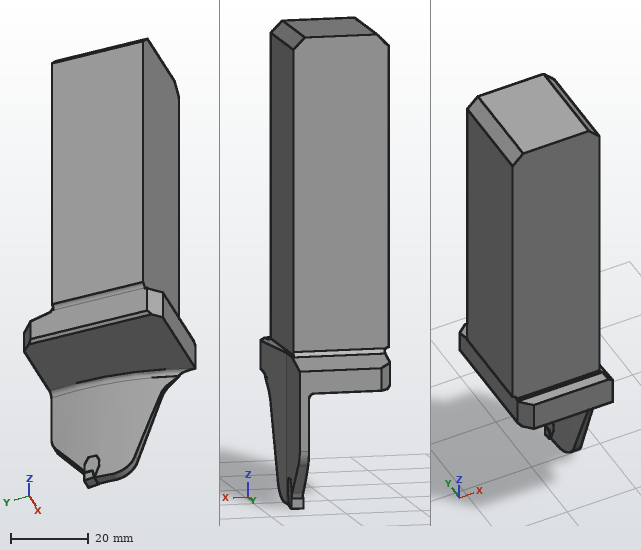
import cadquery as cq
import math

top_z = 124.1
shank_width = 25.4
shank_front_y = 3.8
shank_rear_y = shank_front_y + shank_width
shank_top_chamfer = 3.1

flange_left_x = 1.1
flange_right_x = 27.3
flange_rear_y = 38.7
flange_bottom_z = 31.9
flange_top_z = 40.5
flange_rear_top_z = 37.8
flange_corner_chamfer = 3.1
flange_bottom_chamfer = 0.9
front_ledge_depth = 3.2
front_ledge_drop = 0.4
shoulder_drop = 1.1
rear_relief = 0.9

taper_end_y = 32.0
taper_end_x = 25.4
side_rear_x = 25.9

blade_inner_x = 23.0
blade_inner_radius = 80.7
blade_axis_y = 29.8
blade_bottom_z = 0.5
blade_root_fillet = 1.4

rear_corner = [(flange_rear_y, 16.8), (38.2, 14.5), (37.0, 12.7)]
rear_slope_end = (30.0, 4.2)
front_tip_corner = [(21.7, blade_bottom_z), (18.0, 1.9), (15.6, 5.5)]
front_root_corner = [(9.2, 24.6), (8.3, 26.4), (7.0, 28.0)]
front_root = (3.0, flange_bottom_z)

insert_edge_y = 29.3
insert_rear_z = 5.3
insert_top_z = 7.6
insert_top_rear_y = 28.2
insert_top_front_y = 25.9
insert_front_y = 25.2
insert_front_top_z = 6.0
insert_front_bottom_z = 4.2
insert_heel_y = 26.5
insert_heel_z = 0.4
head_top_z = 2.7
head_root_y = 26.9
head_left_x = 22.7
head_right_x = 25.9


def extrude_along_x(outline):
    """Extrude a closed YZ outline across the full width of the tool."""
    return outline.close().extrude(flange_right_x)


def side_taper_outline(left_x):
    """Plan region from left_x to the tapered +X side."""
    taper_slope = (flange_right_x - taper_end_x) / taper_end_y
    blend_y = (flange_right_x - side_rear_x) / taper_slope
    return (
        cq.Workplane("XY")
        .moveTo(left_x, 0)
        .lineTo(flange_right_x, 0)
        .lineTo(side_rear_x, blend_y)
        .lineTo(side_rear_x, flange_rear_y)
        .lineTo(left_x, flange_rear_y)
        .close()
    )


def make_shank():
    bottom_z = flange_top_z - shoulder_drop
    shank = (
        cq.Workplane("XY", origin=(0, shank_front_y, bottom_z))
        .box(shank_width, shank_width, top_z - bottom_z, centered=False)
        .faces(">Z").edges("|Y").chamfer(shank_top_chamfer)
    )
    arc_offset = flange_left_x * math.sqrt(0.5)
    foot_cut = (
        cq.Workplane("XZ")
        .moveTo(0, bottom_z)
        .lineTo(flange_left_x, bottom_z)
        .lineTo(flange_left_x, flange_top_z)
        .threePointArc((arc_offset, flange_top_z + arc_offset), (0, flange_top_z + flange_left_x))
        .close().extrude(-flange_rear_y)
    )
    return shank.cut(foot_cut)


def make_flange():
    height = flange_top_z + rear_relief - flange_bottom_z
    plan = side_taper_outline(flange_left_x).extrude(height)
    flange = (
        plan.translate((0, 0, flange_bottom_z))
        .edges("|Z and <X").chamfer(flange_corner_chamfer)
        .faces("<X").edges("<Z").chamfer(flange_bottom_chamfer)
    )
    profile = extrude_along_x(
        cq.Workplane("YZ")
        .moveTo(0, flange_bottom_z)
        .lineTo(flange_rear_y, flange_bottom_z)
        .lineTo(flange_rear_y, flange_rear_top_z)
        .lineTo(shank_rear_y + rear_relief, flange_top_z - front_ledge_drop)
        .lineTo(shank_rear_y, flange_top_z + rear_relief)
        .lineTo(shank_rear_y, flange_top_z)
        .lineTo(front_ledge_depth, flange_top_z)
        .lineTo(front_ledge_depth, flange_top_z - front_ledge_drop)
        .lineTo(0, flange_top_z - front_ledge_drop)
    )
    shoulder = (
        cq.Workplane("XZ")
        .moveTo(shank_width, flange_top_z)
        .lineTo(shank_width, flange_top_z + rear_relief)
        .lineTo(flange_right_x, flange_top_z + rear_relief)
        .lineTo(flange_right_x, flange_top_z - shoulder_drop)
        .close().extrude(-flange_rear_y)
    )
    return flange.intersect(profile).cut(shoulder)


def make_blade_slab():
    """Space between the cylindrical inner face and the tapered +X side."""
    cylinder = (
        cq.Workplane("XY")
        .center(blade_inner_x + blade_inner_radius, blade_axis_y)
        .circle(blade_inner_radius).extrude(flange_bottom_z)
    )
    return side_taper_outline(flange_left_x).extrude(flange_bottom_z).intersect(cylinder)


def make_blade(slab):
    outline = extrude_along_x(
        cq.Workplane("YZ")
        .moveTo(flange_rear_y, flange_bottom_z)
        .lineTo(*rear_corner[0])
        .threePointArc(*rear_corner[1:])
        .lineTo(*rear_slope_end)
        .lineTo(insert_edge_y, head_top_z)
        .lineTo(insert_edge_y, blade_bottom_z)
        .lineTo(*front_tip_corner[0])
        .threePointArc(*front_tip_corner[1:])
        .lineTo(*front_root_corner[0])
        .threePointArc(*front_root_corner[1:])
        .lineTo(*front_root)
    )
    return slab.intersect(outline)


def make_insert_prism():
    return extrude_along_x(
        cq.Workplane("YZ")
        .moveTo(insert_edge_y, 0)
        .lineTo(insert_edge_y, insert_rear_z)
        .lineTo(insert_top_rear_y, insert_top_z)
        .lineTo(insert_top_front_y, insert_top_z)
        .lineTo(insert_front_y, insert_front_top_z)
        .lineTo(insert_front_y, insert_front_bottom_z)
        .lineTo(insert_heel_y, insert_heel_z)
    )


def make_holder(slab, insert_prism):
    holder = make_shank().union(make_flange()).union(make_blade(slab))
    margin = 0.6
    root_right_x = blade_inner_x + 3 * margin
    root = cq.selectors.BoxSelector(
        (blade_inner_x - margin, 0, flange_bottom_z - margin),
        (root_right_x, flange_rear_y, flange_bottom_z + margin),
    )
    holder = holder.edges(root).fillet(blade_root_fillet)
    return holder.cut(insert_prism)


def make_insert(slab, insert_prism):
    head = (
        cq.Workplane("YZ", origin=(head_left_x, 0, 0))
        .moveTo(insert_edge_y, 0)
        .lineTo(insert_edge_y, head_top_z)
        .lineTo(head_root_y, head_top_z)
        .lineTo(insert_heel_y, insert_heel_z)
        .close().extrude(head_right_x - head_left_x)
    )
    return slab.intersect(insert_prism).union(head.intersect(insert_prism))


blade_slab = make_blade_slab()
insert_space = make_insert_prism()
holder = make_holder(blade_slab, insert_space)
insert = make_insert(blade_slab, insert_space)

result = cq.Compound.makeCompound([holder.val(), insert.val()])